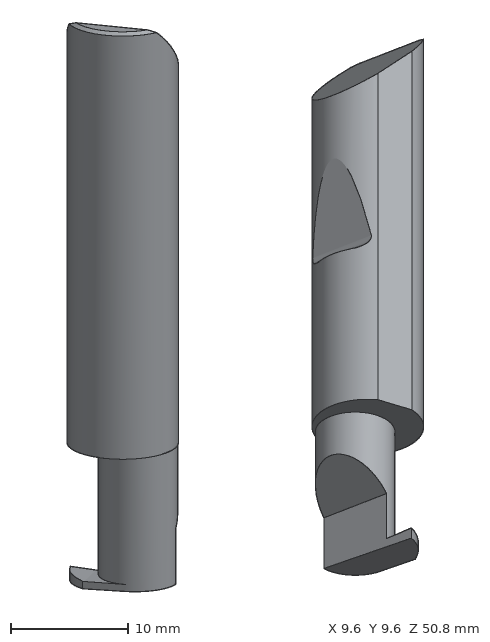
import cadquery as cq
import math

length = 50.8
shank_radius = 4.8
shank_bottom = 12.6
rim_width = 0.4
rim_height = 0.25
flat_sweep = 41.4
bevel_edge_y = -2.95

notch_top = 36.8
notch_radius = 1.2
notch_center_z = 28.7

neck_radius = 3.4
neck_x = shank_radius - neck_radius
relief_bottom = 5.35

head_height = 1.0
tip_x = -4.7
edge_sag = 0.35
corner_x = -2.8
corner_y = -3.15
front_x = -2.5
crease_x = -2.35
crease_depth = 0.1
heel_height = 0.35
underside_rise = 0.15

margin = 2.55


def make_shank():
    """Round bar with a conical rim, a side flat and a 45 degree end bevel."""
    shank = cq.Workplane("XY").workplane(offset=shank_bottom).circle(shank_radius)
    shank = shank.extrude(length - shank_bottom)
    shank = shank.faces(">Z").chamfer(rim_height, rim_width)

    half_sweep = math.radians(flat_sweep / 2)
    flat_distance = shank_radius * math.cos(half_sweep)
    flat_cutter = (
        cq.Workplane("XY")
        .box(margin, 4 * shank_radius, 2 * length, centered=(False, True, False))
        .translate((flat_distance, 0, 0))
        .rotate((0, 0, 0), (0, 0, 1), 180 - flat_sweep / 2)
    )

    bevel_run = shank_radius + margin - bevel_edge_y
    bevel_cutter = (
        cq.Workplane("YZ")
        .moveTo(bevel_edge_y, length)
        .lineTo(bevel_edge_y + bevel_run, length - bevel_run)
        .lineTo(bevel_edge_y + bevel_run, length)
        .close()
        .extrude(2 * shank_radius, both=True)
    )
    return shank.cut(flat_cutter).cut(bevel_cutter)


def make_notch():
    """Shallow ramp ending in a quarter-round shoulder."""
    return (
        cq.Workplane("YZ")
        .moveTo(shank_radius, notch_top)
        .lineTo(shank_radius - notch_radius, notch_center_z)
        .radiusArc((shank_radius, notch_center_z - notch_radius), -notch_radius)
        .close()
        .extrude(2 * shank_radius, both=True)
    )


def make_neck():
    """Offset round neck, cut back to its axis below a 45 degree relief."""
    neck = cq.Workplane("XY").center(neck_x, 0).circle(neck_radius).extrude(shank_bottom)
    relief_run = neck_radius + margin
    relief = (
        cq.Workplane("YZ")
        .moveTo(0, -margin)
        .lineTo(0, relief_bottom)
        .lineTo(relief_run, relief_bottom + relief_run)
        .lineTo(relief_run, -margin)
        .close()
        .extrude(2 * shank_radius, both=True)
    )
    return neck.cut(relief)


def make_head():
    """Thin hooked tooth with a curved end and a small front corner and a shallow valley on top."""
    blank = (
        cq.Workplane("XY")
        .moveTo(tip_x, 0)
        .sagittaArc((corner_x, corner_y), -edge_sag)
        .lineTo(front_x, -neck_radius)
        .lineTo(neck_x, -neck_radius)
        .lineTo(neck_x, 0)
        .close()
        .extrude(head_height)
    )
    valley = (
        cq.Workplane("XZ")
        .moveTo(tip_x, head_height)
        .lineTo(crease_x, head_height - crease_depth)
        .lineTo(neck_x, head_height)
        .close()
        .extrude(2 * neck_radius, both=True)
    )
    return blank.cut(valley)


def make_underside_clearance():
    """Wedge below a plane that rises away from the cutting tip along +X and -Y."""
    span_x = shank_radius - tip_x
    normal = cq.Vector(heel_height / span_x, -underside_rise / neck_radius, -1)
    plane = cq.Plane(origin=(tip_x, 0, 0), normal=normal)
    return cq.Workplane(plane).rect(6 * shank_radius, 6 * shank_radius).extrude(margin)


shank = make_shank().cut(make_notch())
tool_end = make_neck().union(make_head()).cut(make_underside_clearance())
result = shank.union(tool_end)